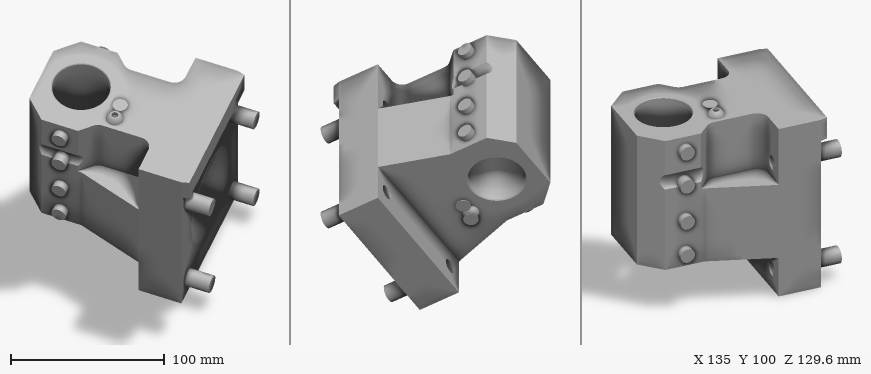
import cadquery as cq
import math


overall_length = 135.0
plate_width = 100.0
plate_height = 126.0
overall_height = 129.6
plate_front_x = 88.0
plate_thickness = 30.0
plate_back_x = plate_front_x + plate_thickness

lip_depth = 5.0
lip_height = 15.9
lip_side_inset = 1.5

pad_diameter = 66.0
pad_thickness = 0.3

body_width = 70.0
body_bottom_z = 29.0
body_height = plate_height - body_bottom_z
corner_chamfer = 14.0
taper_start_x = 42.0

bore_x = 28.0
bore_diameter = 38.0
bore_chamfer = 0.5

pocket_depth = 42.0
pocket_wall_y = 25.0
pocket_start_x = 39.5
pocket_fillet = 8.0

bolt_y = 39.0
lower_bolt_z = 15.0
upper_bolt_z = plate_height - 31.0
bolt_diameter = 12.0
groove_diameter = 13.4
socket_diameter = 10.0
socket_depth = 5.0
socket_cone_height = 3.0

screw_diameter = 10.0
screw_protrusion = 5.0
screw_depths = (10.0, 35.0, 62.1, 87.0)

fitting_x = 58.0
nozzle_y = -16.5
plug_y = -7.0
nozzle_base_radius = 5.8
nozzle_tip_radius = 3.1
nozzle_height = overall_height - plate_height
nozzle_hole_radius = 2.3
nozzle_hole_depth = 2.7
flare_radius = 5.0
flare_rim = 0.4
top_plug_height = 3.1
bottom_plug_height = 2.4
nozzle_flare_height = 3.1


def x_cylinder(diameter, start_x, end_x, y, z):
    """Cylinder along X between two X positions."""
    length = end_x - start_x
    return cq.Workplane("YZ", origin=(start_x, y, z)).circle(diameter / 2).extrude(length)


def clamp_body():
    """Chamfered nose that tapers out to the full plate width."""
    half_nose = body_width / 2 - corner_chamfer
    half_body = body_width / 2
    half_plate = plate_width / 2
    return (
        cq.Workplane("XY", origin=(0, 0, body_bottom_z))
        .moveTo(0, -half_nose)
        .lineTo(corner_chamfer, -half_body)
        .lineTo(taper_start_x, -half_body)
        .lineTo(plate_front_x, -half_plate)
        .lineTo(plate_front_x, half_plate)
        .lineTo(taper_start_x, half_body)
        .lineTo(corner_chamfer, half_body)
        .lineTo(0, half_nose)
        .close()
        .extrude(body_height)
    )


def mounting_plate():
    """Plate with the lip and the round pad on its back face."""
    plate = cq.Workplane("XY").box(
        plate_thickness, plate_width, plate_height, centered=(False, True, False)
    ).translate((plate_front_x, 0, 0))
    half_plate = plate_width / 2
    half_lip = half_plate - lip_side_inset
    lip = (
        cq.Workplane("XY", origin=(0, 0, plate_height - lip_height))
        .moveTo(plate_back_x, -half_plate)
        .lineTo(plate_back_x + lip_depth, -half_lip)
        .lineTo(plate_back_x + lip_depth, half_lip)
        .lineTo(plate_back_x, half_plate)
        .close()
        .extrude(lip_height)
    )
    pad_z = (lower_bolt_z + upper_bolt_z) / 2
    pad = x_cylinder(pad_diameter, plate_back_x, plate_back_x + pad_thickness, 0, pad_z)
    return plate.union(lip).union(pad)


def side_pocket(side):
    """Pocket with a 45 degree front wall; side is +1 or -1 along Y."""
    outer_y = plate_width / 2
    front_run = outer_y - pocket_wall_y
    wall_start_x = pocket_start_x + body_width / 2 - pocket_wall_y
    pocket = (
        cq.Workplane("XY", origin=(0, 0, plate_height - pocket_depth))
        .moveTo(wall_start_x - front_run, side * outer_y)
        .lineTo(wall_start_x, side * pocket_wall_y)
        .lineTo(plate_front_x, side * pocket_wall_y)
        .lineTo(plate_front_x, side * outer_y)
        .close()
        .extrude(pocket_depth)
    )
    inner_face = "<Y" if side > 0 else ">Y"
    return pocket.faces(inner_face).edges("|Z").fillet(pocket_fillet)


def tool_bore():
    """Through bore along Z with a small chamfer at both mouths."""
    radius = bore_diameter / 2
    mouth_radius = radius + bore_chamfer
    return (
        cq.Workplane("XZ")
        .moveTo(0, body_bottom_z)
        .lineTo(mouth_radius, body_bottom_z)
        .lineTo(radius, body_bottom_z + bore_chamfer)
        .lineTo(radius, plate_height - bore_chamfer)
        .lineTo(mouth_radius, plate_height)
        .lineTo(0, plate_height)
        .close()
        .revolve(360, (0, 0), (0, 1))
        .translate((bore_x, 0, 0))
    )


def bolt_socket(y, z):
    """Blind recess in the plate's front face, ending in a cone."""
    radius = socket_diameter / 2
    cone_start = plate_front_x + socket_depth
    return (
        cq.Workplane("XY")
        .moveTo(plate_front_x, 0)
        .lineTo(plate_front_x, radius)
        .lineTo(cone_start, radius)
        .lineTo(cone_start + socket_cone_height, 0)
        .close()
        .revolve(360, (0, 0), (1, 0))
        .translate((0, y, z))
    )


def clamping_screw(side, z):
    """Screw end standing out of a body side, rooted halfway into the wall."""
    face_y = side * body_width / 2
    root_y = side * (body_width / 2 + bore_diameter / 2) / 2
    length = abs(face_y - root_y) + screw_protrusion
    direction = cq.Vector(0, side, 0)
    return cq.Workplane(
        cq.Solid.makeCylinder(screw_diameter / 2, length, cq.Vector(bore_x, root_y, z), direction)
    )


def flared_plug(height):
    """45 degree cone widening upward from Z = 0 to a thin cylindrical rim."""
    cone_height = height - flare_rim
    return (
        cq.Workplane("XZ")
        .lineTo(flare_radius - cone_height, 0)
        .lineTo(flare_radius, cone_height)
        .lineTo(flare_radius, height)
        .lineTo(0, height)
        .close()
        .revolve(360, (0, 0), (0, 1))
    )


def nozzle():
    """Spherical zone standing on Z = 0."""
    radius_term = nozzle_base_radius**2 - nozzle_tip_radius**2
    sink = (radius_term - nozzle_height**2) / (2 * nozzle_height)
    sphere_radius = math.hypot(sink, nozzle_base_radius)
    ball = cq.Workplane("XY", origin=(0, 0, -sink)).sphere(sphere_radius)
    slab = cq.Workplane("XY").circle(2 * sphere_radius).extrude(nozzle_height)
    return ball.intersect(slab)


result = clamp_body().union(mounting_plate())
result = result.cut(tool_bore())

for side in (1, -1):
    result = result.cut(side_pocket(side))
    result = result.cut(x_cylinder(groove_diameter, 0, plate_front_x, side * bolt_y, upper_bolt_z))
    for bolt_z in (lower_bolt_z, upper_bolt_z):
        result = result.cut(bolt_socket(side * bolt_y, bolt_z))
        result = result.union(
            x_cylinder(bolt_diameter, plate_back_x, overall_length, side * bolt_y, bolt_z)
        )
    for depth in screw_depths:
        result = result.union(clamping_screw(side, plate_height - depth))

nozzle_hole = (
    cq.Workplane("XY", origin=(0, 0, nozzle_height - nozzle_hole_depth))
    .circle(nozzle_hole_radius)
    .extrude(nozzle_hole_depth)
)
top_nozzle = nozzle().cut(nozzle_hole)
top_plug = flared_plug(top_plug_height)
result = result.union(top_nozzle.translate((fitting_x, nozzle_y, plate_height)))
result = result.union(top_plug.translate((fitting_x, plug_y, plate_height)))

nozzle_flare = flared_plug(nozzle_flare_height).translate((0, 0, nozzle_height))
bottom_nozzle = nozzle().union(nozzle_flare).mirror("XY")
bottom_plug = flared_plug(bottom_plug_height).mirror("XY")
result = result.union(bottom_nozzle.translate((fitting_x, nozzle_y, body_bottom_z)))
result = result.union(bottom_plug.translate((fitting_x, plug_y, body_bottom_z)))